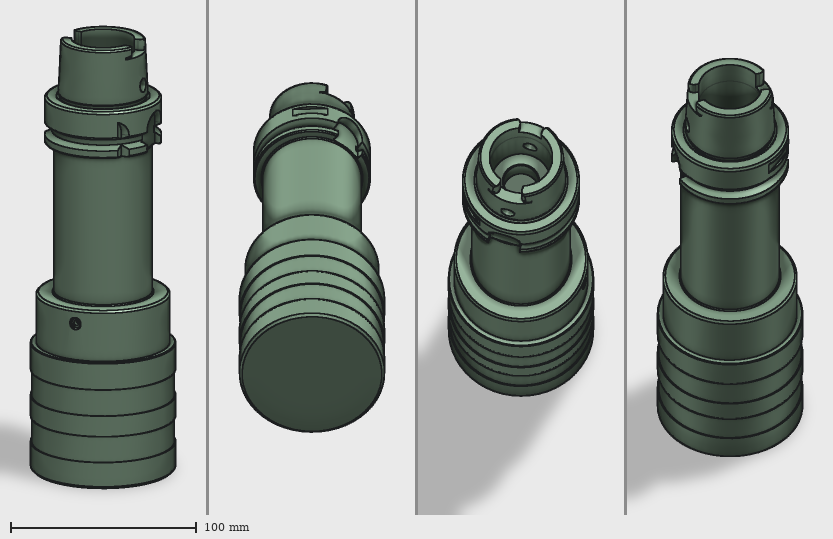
import cadquery as cq
import math

TOTAL_HEIGHT = 242.0

SLEEVE_DIAMETER = 78.2
SLEEVE_RADIUS = SLEEVE_DIAMETER / 2
SLEEVE_TOP = 71.1
SLEEVE_CHAMFER = 1.5
SLEEVE_TOP_CHAMFER = 0.5
BAND_RADIUS = 38.5
GRIP_BANDS = ((15.0, 29.5), (41.1, 56.0))

BODY_RADIUS = 36.0
BODY_TOP = 99.5
BODY_CHAMFER = 1.2
SCREW_Z = 91.5
SCREW_MOUTH_RADIUS = 3.5
SCREW_RECESS_RADIUS = 2.7
SCREW_RECESS_DEPTH = 1.5
SCREW_SOCKET_RADIUS = 1.5
SCREW_SOCKET_DEPTH = 4.8

SHAFT_RADIUS = 26.5
SHAFT_BLEND = 0.7

FLANGE_RADIUS = 31.5
FLANGE_BOTTOM = 184.0
FLANGE_TOP = 210.0
FLANGE_CHAMFER = 1.2
FLANGE_LOWER_CHAMFER = 0.7
GROOVE_RADIUS = 27.5
GROOVE_BOTTOM = 188.3
GROOVE_FLOOR_BOTTOM = 190.5
GROOVE_FLOOR_TOP = 193.4
GROOVE_TOP = 195.5

TAPER_BASE_RADIUS = 24.2
TAPER_TOP_RADIUS = 22.7
TAPER_CHAMFER = 1.0
NECK_RADIUS = 23.5
NECK_HEIGHT = 1.0
NECK_BLEND = 0.7
FACE_GROOVE_RADIUS = 25.2
FACE_GROOVE_DEPTH = 0.7
MOUTH_RADIUS = 17.0
MOUTH_BOTTOM = 230.0
BORE_FLOOR_RADIUS = 16.0
BORE_BOTTOM = 208.0
CENTRE_HOLE_RADIUS = 9.5
CENTRE_HOLE_DEPTH = 12.0
CENTRE_HOLE_CHAMFER = 0.5
CROSS_HOLE_DIAMETER = 7.5
CROSS_HOLE_Z = 218.8

DRIVE_SLOT_HALF_WIDTH = 6.3
DRIVE_SLOT_FLARE = 3.5
DRIVE_SLOT_FLARE_START = 17.7
DEEP_SLOT_FLOOR = 232.3
SHALLOW_SLOT_FLOOR = 236.0
RELIEF_HALF_WIDTH = 12.0
RELIEF_HEIGHT = 2.0
RELIEF_EDGE = 0.7
RELIEF_FLOOR_RADIUS = 22.3

KEYWAY_HALF_WIDTH = 9.0
KEYWAY_ARCH_Z = 196.3
KEYWAY_FLOOR = SHAFT_RADIUS
NOTCH_WALL = 19.8
FLAT_ANGLE = 135
FLAT_DISTANCE = 30.0
FLAT_BOTTOM = 200.1
FLAT_TOP = 206.2

CUTTER_OVERSHOOT = 4.8
OUTSIDE = SLEEVE_RADIUS + CUTTER_OVERSHOOT


def disc(radius, bottom, top):
    """Solid cylinder on the Z axis."""
    return cq.Workplane("XY").workplane(offset=bottom).circle(radius).extrude(top - bottom)


def revolve_about_z(points):
    """Full turn of a closed (radius, Z) outline about the Z axis."""
    return cq.Workplane("XZ").polyline(points).close().revolve(360, (0, 0, 0), (0, 1, 0))


def turned_body():
    """Revolve the complete outer profile, from the sleeve up to the shank rim."""
    points = [
        (0, 0),
        (SLEEVE_RADIUS - SLEEVE_CHAMFER, 0),
        (SLEEVE_RADIUS, SLEEVE_CHAMFER),
    ]
    for bottom, top in GRIP_BANDS:
        points += [
            (SLEEVE_RADIUS, bottom),
            (BAND_RADIUS, bottom),
            (BAND_RADIUS, top),
            (SLEEVE_RADIUS, top),
        ]
    points += [
        (SLEEVE_RADIUS, SLEEVE_TOP - SLEEVE_TOP_CHAMFER),
        (SLEEVE_RADIUS - SLEEVE_TOP_CHAMFER, SLEEVE_TOP),
        (BODY_RADIUS, SLEEVE_TOP),
        (BODY_RADIUS, BODY_TOP - BODY_CHAMFER),
        (BODY_RADIUS - BODY_CHAMFER, BODY_TOP),
        (SHAFT_RADIUS + SHAFT_BLEND, BODY_TOP),
        (SHAFT_RADIUS, BODY_TOP + SHAFT_BLEND),
        (SHAFT_RADIUS, FLANGE_BOTTOM - SHAFT_BLEND),
        (SHAFT_RADIUS + SHAFT_BLEND, FLANGE_BOTTOM),
        (FLANGE_RADIUS - FLANGE_LOWER_CHAMFER, FLANGE_BOTTOM),
        (FLANGE_RADIUS, FLANGE_BOTTOM + FLANGE_LOWER_CHAMFER),
        (FLANGE_RADIUS, GROOVE_BOTTOM),
        (GROOVE_RADIUS, GROOVE_FLOOR_BOTTOM),
        (GROOVE_RADIUS, GROOVE_FLOOR_TOP),
        (FLANGE_RADIUS, GROOVE_TOP),
        (FLANGE_RADIUS, FLANGE_TOP - FLANGE_CHAMFER),
        (FLANGE_RADIUS - FLANGE_CHAMFER, FLANGE_TOP),
        (FACE_GROOVE_RADIUS, FLANGE_TOP),
        (FACE_GROOVE_RADIUS, FLANGE_TOP - FACE_GROOVE_DEPTH),
        (NECK_RADIUS, FLANGE_TOP - FACE_GROOVE_DEPTH),
        (NECK_RADIUS, FLANGE_TOP + NECK_HEIGHT),
        (TAPER_BASE_RADIUS, FLANGE_TOP + NECK_HEIGHT + NECK_BLEND),
        (TAPER_TOP_RADIUS, TOTAL_HEIGHT - TAPER_CHAMFER),
        (TAPER_TOP_RADIUS - TAPER_CHAMFER, TOTAL_HEIGHT),
        (0, TOTAL_HEIGHT),
    ]
    return revolve_about_z(points)


def shank_bore():
    """Bore with a straight mouth, a narrowing lower part and a chamfered blind hole in its floor."""
    points = [
        (0, TOTAL_HEIGHT),
        (MOUTH_RADIUS, TOTAL_HEIGHT),
        (MOUTH_RADIUS, MOUTH_BOTTOM),
        (BORE_FLOOR_RADIUS, BORE_BOTTOM),
        (CENTRE_HOLE_RADIUS + CENTRE_HOLE_CHAMFER, BORE_BOTTOM),
        (CENTRE_HOLE_RADIUS, BORE_BOTTOM - CENTRE_HOLE_CHAMFER),
        (CENTRE_HOLE_RADIUS, BORE_BOTTOM - CENTRE_HOLE_DEPTH),
        (0, BORE_BOTTOM - CENTRE_HOLE_DEPTH),
    ]
    return revolve_about_z(points)


def cross_hole():
    """Radial hole through both walls of the shank, along X."""
    return (
        cq.Workplane("YZ", origin=(-OUTSIDE, 0, 0))
        .center(0, CROSS_HOLE_Z)
        .circle(CROSS_HOLE_DIAMETER / 2)
        .extrude(2 * OUTSIDE)
    )


def drive_slot(floor):
    """Slot on the +X side whose walls round outwards, with relieved floor corners."""
    half = DRIVE_SLOT_HALF_WIDTH
    start = DRIVE_SLOT_FLARE_START
    flare = DRIVE_SLOT_FLARE
    mid_x = start + flare * math.sin(math.pi / 4)
    mid_y = half + flare * (1 - math.cos(math.pi / 4))
    slot = (
        cq.Workplane("XY", origin=(0, 0, floor))
        .moveTo(0, -half)
        .lineTo(start, -half)
        .threePointArc((mid_x, -mid_y), (start + flare, -half - flare))
        .lineTo(OUTSIDE, -half - flare)
        .lineTo(OUTSIDE, half + flare)
        .lineTo(start + flare, half + flare)
        .threePointArc((mid_x, mid_y), (start, half))
        .lineTo(0, half)
        .close()
        .extrude(TOTAL_HEIGHT - floor)
    )
    relief = (
        cq.Workplane("YZ", origin=(start, 0, floor))
        .polyline([
            (-RELIEF_HALF_WIDTH, 0),
            (RELIEF_HALF_WIDTH, 0),
            (RELIEF_HALF_WIDTH, RELIEF_EDGE),
            (half, RELIEF_HEIGHT),
            (-half, RELIEF_HEIGHT),
            (-RELIEF_HALF_WIDTH, RELIEF_EDGE),
        ])
        .close()
        .extrude(OUTSIDE)
    )
    relief = relief.cut(disc(RELIEF_FLOOR_RADIUS, floor, TOTAL_HEIGHT))
    return slot.union(relief)


def round_ended_cutter(floor, centre_y):
    """Cutter along X from the plane X = floor, open downwards and arched on top."""
    half = KEYWAY_HALF_WIDTH
    return (
        cq.Workplane("YZ", origin=(floor, centre_y, 0))
        .moveTo(-half, FLANGE_BOTTOM)
        .lineTo(half, FLANGE_BOTTOM)
        .lineTo(half, KEYWAY_ARCH_Z)
        .threePointArc((0, KEYWAY_ARCH_Z + half), (-half, KEYWAY_ARCH_Z))
        .close()
        .extrude(OUTSIDE)
    )


def flange_flat():
    """Short flat milled tangentially into the flange."""
    depth = OUTSIDE - FLAT_DISTANCE
    return (
        cq.Workplane("XY")
        .box(depth, 2 * OUTSIDE, FLAT_TOP - FLAT_BOTTOM, centered=(False, True, False))
        .translate((FLAT_DISTANCE, 0, FLAT_BOTTOM))
        .rotate((0, 0, 0), (0, 0, 1), FLAT_ANGLE)
    )


def screw_hole():
    """Set-screw hole on the -Y side: chamfered mouth, recess down to the screw and its socket."""
    mouth_depth = SCREW_MOUTH_RADIUS - SCREW_RECESS_RADIUS
    surface = -BODY_RADIUS
    points = [
        (0, -OUTSIDE),
        (SCREW_MOUTH_RADIUS, -OUTSIDE),
        (SCREW_MOUTH_RADIUS, surface),
        (SCREW_RECESS_RADIUS, surface + mouth_depth),
        (SCREW_RECESS_RADIUS, surface + SCREW_RECESS_DEPTH),
        (SCREW_SOCKET_RADIUS, surface + SCREW_RECESS_DEPTH),
        (SCREW_SOCKET_RADIUS, surface + SCREW_SOCKET_DEPTH),
        (0, surface + SCREW_SOCKET_DEPTH),
    ]
    outline = cq.Workplane("XY", origin=(0, 0, SCREW_Z)).polyline(points).close()
    return outline.revolve(360, (0, 0, 0), (0, 1, 0))


def half_turn(shape):
    return shape.rotate((0, 0, 0), (0, 0, 1), 180)


keyway = round_ended_cutter(KEYWAY_FLOOR, 0)
orientation_notch = round_ended_cutter(NOTCH_WALL, -NOTCH_WALL - KEYWAY_HALF_WIDTH)

cuts = [
    shank_bore(),
    cross_hole(),
    drive_slot(SHALLOW_SLOT_FLOOR),
    half_turn(drive_slot(DEEP_SLOT_FLOOR)),
    keyway,
    half_turn(keyway),
    orientation_notch,
    flange_flat(),
    screw_hole(),
]

result = turned_body()
for cut in cuts:
    result = result.cut(cut)